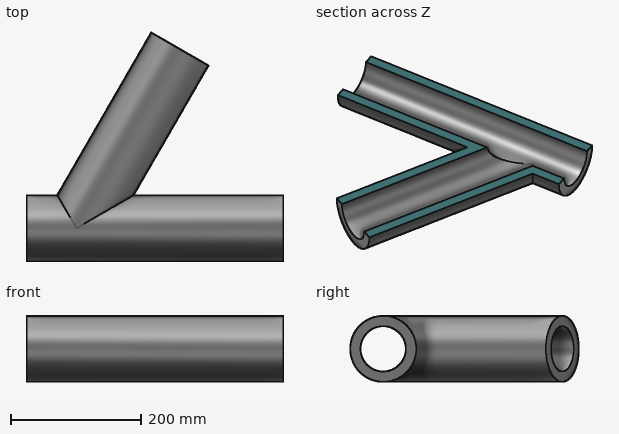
import cadquery as cq
import math

outer_diameter = 101.6
bore_diameter = 69.29
run_length = 393.7
inlet_to_junction = 76.2
branch_length = 317.5
branch_angle = 60.0

run_start = cq.Vector(-inlet_to_junction, 0, 0)
run_direction = cq.Vector(1, 0, 0)

junction = cq.Vector(0, 0, 0)
branch_radians = math.radians(branch_angle)
branch_direction = cq.Vector(math.cos(branch_radians), math.sin(branch_radians), 0)


def lateral(diameter):
    """Return the run and the branch as joined solid cylinders of one diameter."""
    radius = diameter / 2
    run = cq.Solid.makeCylinder(radius, run_length, run_start, run_direction)
    branch = cq.Solid.makeCylinder(radius, branch_length, junction, branch_direction)
    return cq.Workplane(run).union(cq.Workplane(branch))


result = lateral(outer_diameter).cut(lateral(bore_diameter))